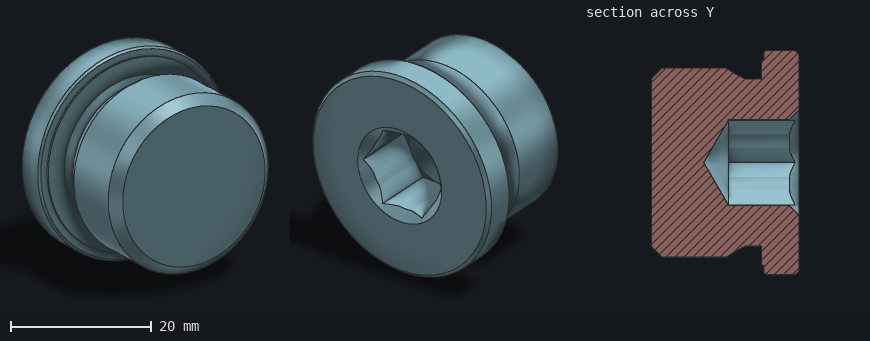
import cadquery as cq
import math

total_length = 21.0
head_radius = 15.95
head_front_chamfer = 0.55
head_rear_chamfer = 0.32
head_thickness = 5.05

seat_radius = 14.58
seat_thickness = 0.32
neck_radius = 11.9
neck_end = 7.65

body_radius = 13.45
taper_angle = 30.0
tip_chamfer = 1.5

hex_across_flats = 12.0
hex_sides = 6
pilot_diameter = 12.2
socket_depth = 10.02
drill_point_angle = 120.0
countersink_diameter = 15.0
countersink_angle = 90.0


def revolve_about_x(points):
    """Revolve a closed (X, radius) outline about the X axis."""
    return cq.Workplane("XY").polyline(points).close().revolve(360, (0, 0, 0), (1, 0, 0))


def cone_length(radius, included_angle):
    """Axial length of a cone with the given base radius and included angle."""
    return radius / math.tan(math.radians(included_angle / 2))


def plug_body():
    seat_end = head_thickness + seat_thickness
    taper_length = (body_radius - neck_radius) / math.tan(math.radians(taper_angle))
    return revolve_about_x([
        (0, 0),
        (0, head_radius - head_front_chamfer),
        (head_front_chamfer, head_radius),
        (head_thickness - head_rear_chamfer, head_radius),
        (head_thickness, head_radius - head_rear_chamfer),
        (head_thickness, seat_radius),
        (seat_end, seat_radius),
        (seat_end, neck_radius),
        (neck_end, neck_radius),
        (neck_end + taper_length, body_radius),
        (total_length - tip_chamfer, body_radius),
        (total_length, body_radius - tip_chamfer),
        (total_length, 0),
    ])


def pilot_hole():
    radius = pilot_diameter / 2
    return revolve_about_x([
        (0, 0),
        (0, radius),
        (socket_depth, radius),
        (socket_depth + cone_length(radius, drill_point_angle), 0),
    ])


def hex_socket():
    across_corners = hex_across_flats / math.cos(math.pi / hex_sides)
    return cq.Workplane("YZ").polygon(hex_sides, across_corners).extrude(socket_depth)


def countersink():
    radius = countersink_diameter / 2
    return revolve_about_x([(0, 0), (0, radius), (cone_length(radius, countersink_angle), 0)])


result = plug_body().cut(pilot_hole()).cut(hex_socket()).cut(countersink())